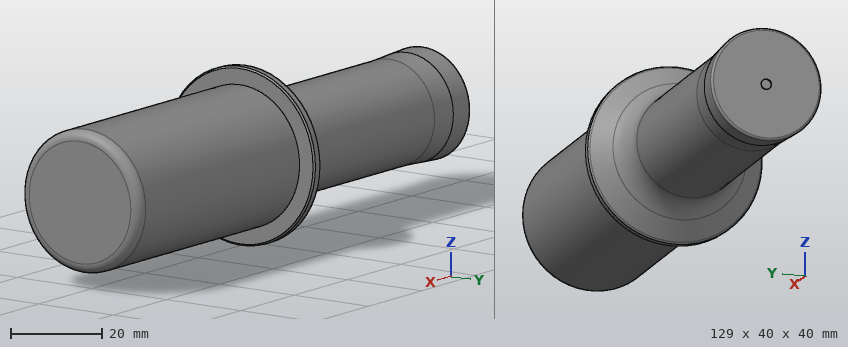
import cadquery as cq
import math

total_length = 129.0

head_length = 6.0
head_radius = 12.6
edge_round = 0.5
taper_end = 12.6
neck_radius = 12.0
centre_hole_radius = 1.2
centre_hole_depth = 0.4

flare_start = 56.5
flare_arc_radius = 8.4
flare_angle = math.radians(53)

flange_radius = 20.0
flange_back = 68.9
flange_chamfer = 0.4
shank_radius = 16.0
shank_end_round = 2.3

taper_slope = (head_radius - neck_radius) / (taper_end - edge_round)
split_radius = neck_radius + taper_slope * (taper_end - head_length)


def flare_point(angle):
    """Point on the flare arc after it has turned by the given angle."""
    return (
        flare_start + flare_arc_radius * math.sin(angle),
        neck_radius + flare_arc_radius * (1 - math.cos(angle)),
    )


def turn(profile):
    """Revolve a closed half profile, drawn as (x, radius), about the X axis."""
    return profile.close().revolve(360, (0, 0, 0), (1, 0, 0))


def make_cutting_head():
    edge_middle = edge_round * (1 - math.sqrt(0.5))
    profile = (
        cq.Workplane("XY")
        .moveTo(centre_hole_depth, 0)
        .lineTo(centre_hole_depth, centre_hole_radius)
        .lineTo(0, centre_hole_radius)
        .lineTo(0, head_radius - edge_round)
        .threePointArc((edge_middle, head_radius - edge_middle), (edge_round, head_radius))
        .lineTo(head_length, split_radius)
        .lineTo(head_length, 0)
    )
    return turn(profile)


def make_holder():
    cone_start = flare_point(flare_angle)
    rim_radius = flange_radius - flange_chamfer
    flange_front = cone_start[0] + (rim_radius - cone_start[1]) / math.tan(flare_angle)
    profile = (
        cq.Workplane("XY")
        .moveTo(head_length, 0)
        .lineTo(head_length, split_radius)
        .lineTo(taper_end, neck_radius)
        .lineTo(flare_start, neck_radius)
        .threePointArc(flare_point(flare_angle / 2), cone_start)
        .lineTo(flange_front, rim_radius)
        .lineTo(flange_front + flange_chamfer, flange_radius)
        .lineTo(flange_back - flange_chamfer, flange_radius)
        .lineTo(flange_back, rim_radius)
        .lineTo(flange_back, shank_radius)
        .lineTo(total_length, shank_radius)
        .lineTo(total_length, 0)
    )
    return turn(profile).faces(">X").edges().fillet(shank_end_round)


cutting_head = make_cutting_head()
holder = make_holder()

result = cq.Compound.makeCompound([cutting_head.val(), holder.val()])